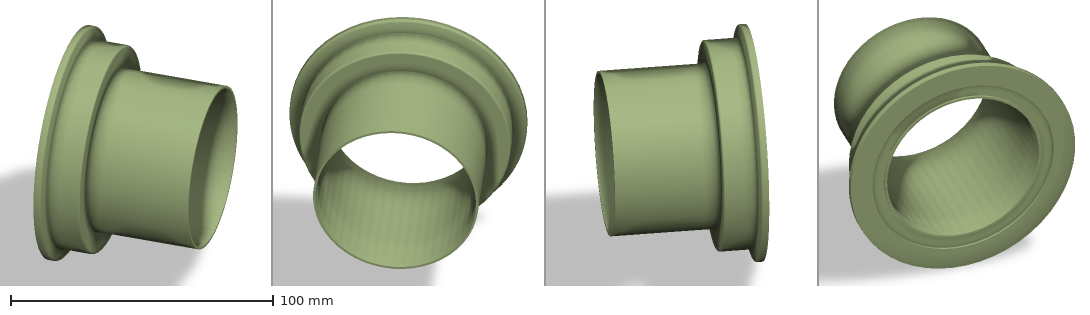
import cadquery as cq
import math

total_length = 57.5
flange_radius = 45.5

tube_radius = 31.7
bore_radius = 30.8

rim_width = 2.0
rim_round = 0.9
taper_angle = 15.0
taper_root_round = 0.55

hub_radius = 40.5
hub_end = 16.8
hub_round = 0.8
weld_fillet = 0.55

recess_radius = 36.7
recess_depth = 0.9

taper_slope = math.tan(math.radians(taper_angle))
corner_offset = rim_round * math.tan(math.radians(90 - taper_angle) / 2)
taper_start = rim_width + corner_offset
taper_end = taper_start + (flange_radius - hub_radius) * taper_slope


def make_body():
    """Revolve the flange, hub and tube as one solid about X."""
    profile = (
        cq.Workplane("XY")
        .moveTo(0, 0)
        .lineTo(0, flange_radius)
        .lineTo(taper_start, flange_radius)
        .lineTo(taper_end, hub_radius)
        .lineTo(hub_end, hub_radius)
        .lineTo(hub_end, tube_radius)
        .lineTo(total_length, tube_radius)
        .lineTo(total_length, 0)
        .close()
    )
    return profile.revolve(360, (0, 0, 0), (1, 0, 0))


def round_edge(body, x, radius, size):
    """Round the circular edge at the given axial position and radius."""
    tolerance = 0.01
    reach = radius + tolerance
    inner = radius - tolerance
    box = cq.selectors.BoxSelector(
        (x - tolerance, -reach, -reach), (x + tolerance, reach, reach), boundingbox=True
    )
    inner_box = cq.selectors.BoxSelector(
        (x - tolerance, -inner, -inner), (x + tolerance, inner, inner), boundingbox=True
    )
    return body.edges(box - inner_box).fillet(size)


def axial_cylinder(radius, length):
    """Cylinder along X starting at the front face."""
    return cq.Workplane("YZ").circle(radius).extrude(length)


body = make_body()
body = round_edge(body, taper_start, flange_radius, rim_round)
body = round_edge(body, taper_end, hub_radius, taper_root_round)
body = round_edge(body, hub_end, hub_radius, hub_round)
body = round_edge(body, hub_end, tube_radius, weld_fillet)

recess = axial_cylinder(recess_radius, recess_depth).cut(axial_cylinder(tube_radius, recess_depth))
bore = axial_cylinder(bore_radius, total_length)
result = body.cut(recess).cut(bore)